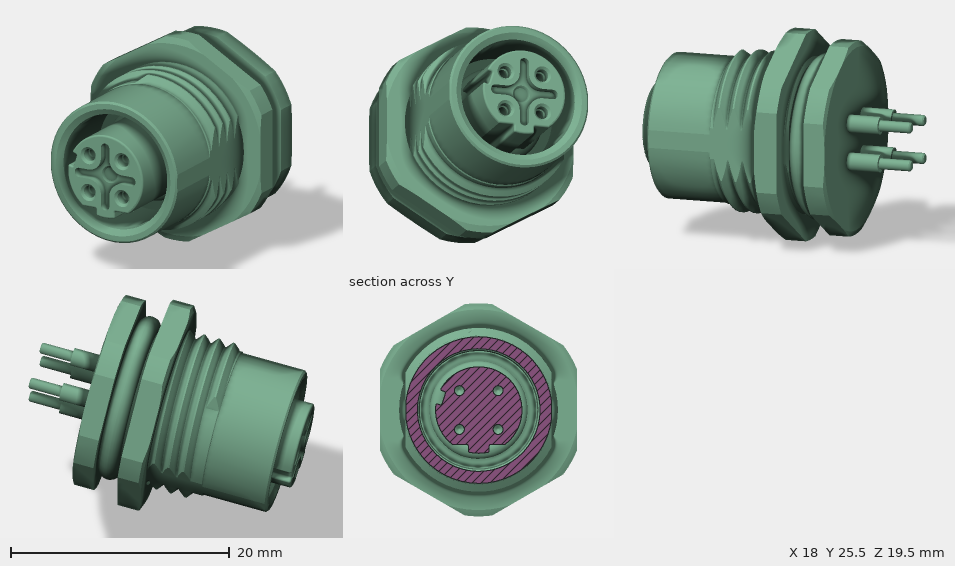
import cadquery as cq
import math


total_length = 25.5
shell_front = 1.48
shell_back = 7.65
bore_floor = 8.15
nut_front = 12.78
nut_back = 15.0
thread_back = 15.33
flange_front = 17.45
flange_back = 19.45
pin_step = 22.47

shell_radius = 6.73
shell_edge_chamfer = 0.18
bore_radius = 5.48
bore_floor_radius = 5.38
lip_radius = 6.05
lip_depth = 0.38
root_radius = 6.83
root_edge_chamfer = 0.08
crest_radius = 7.5
side_flat_x = 6.68
neck_radius = 6.5
thread_pitch = 1.4
thread_start = 8.25
thread_base = 1.28
thread_crest = 0.15
thread_overlap = 0.05
run_in_foot_x = -1.12
run_in_top_x = -0.28
run_in_angle = 15.0
run_in_cut_size = 1.02
thread_end_radius = 6.95
thread_end_chamfer = 0.54

nut_width = 18.0
nut_corner_radius = 19.5 / 2
nut_face_radius = 9.18
nut_bore_radius = 7.27
nut_chamfer = 0.23
flange_width = 17.0
flange_corner_radius = 9.0
flange_face_radius = 8.52
flange_chamfer = 0.15

outer_seal_width = flange_front - 15.48
outer_seal_radius = 6.75
inner_seal_width = 1.53
inner_seal_radius = 3.72

insert_radius = 3.98
insert_edge_fillet = 0.18
insert_flat_z = -3.15
key_width = 1.95
notch_angle = 162.0
notch_width = 1.25
notch_floor = 3.4
slot_corner_fillet = 0.15
cross_length = 6.43
cross_width = 0.9
cross_depth = 0.85
dimple_radius = 0.82
dimple_floor_radius = 0.65
dimple_depth = 0.18

contact_spacing = 3.55
contact_offset = contact_spacing / 2
contact_sides = (-contact_offset, contact_offset)
contact_points = [(x, z) for x in contact_sides for z in contact_sides]
socket_mouth_radius = 0.82
socket_radius = 0.59
socket_mouth_depth = 0.23
socket_depth = 1.02
contact_bore_radius = 0.43
contact_bore_depth = 2.55
contact_bore_point = 0.43
pin_base_radius = 0.82
pin_radius = 0.5
pin_tip_chamfer = 0.13

margin = 0.25


def plane_at(y):
    """Plane across the axis at y, with local axes along X and Z."""
    return cq.Workplane("XZ", origin=(0, y, 0))


def cylinder(y_front, y_back, radius):
    return plane_at(y_front).circle(radius).extrude(y_front - y_back)


def turned(points):
    """Solid of revolution about Y from (radius, y) points."""
    return cq.Workplane("XY").polyline(points).close().revolve(360, (0, 0), (0, 1))


def seal(ring_radius, width, y_centre):
    section = cq.Workplane("XY").center(ring_radius, y_centre).circle(width / 2)
    return section.revolve(360, (-ring_radius, 0), (-ring_radius, 1))


def hexagon(y_front, y_back, width):
    """Hexagonal prism with two of its flats facing -X and +X."""
    corner_diameter = width / math.cos(math.radians(30))
    prism = plane_at(y_front).transformed(rotate=(0, 0, 30)).polygon(6, corner_diameter)
    return prism.extrude(y_front - y_back)


def make_nut():
    envelope = turned([
        (0, nut_front),
        (nut_face_radius, nut_front),
        (nut_corner_radius, nut_front + nut_chamfer),
        (nut_corner_radius, nut_back),
        (0, nut_back),
    ])
    nut = hexagon(nut_front, nut_back, nut_width).intersect(envelope)
    return nut.cut(cylinder(nut_front, nut_back, nut_bore_radius))


def make_flange():
    envelope = turned([
        (0, flange_front),
        (flange_corner_radius, flange_front),
        (flange_corner_radius, flange_back - flange_chamfer),
        (flange_face_radius, flange_back),
        (0, flange_back),
    ])
    return hexagon(flange_front, flange_back, flange_width).intersect(envelope)


def make_shell():
    return turned([
        (0, bore_floor),
        (bore_floor_radius, bore_floor),
        (bore_radius, shell_front + lip_depth),
        (lip_radius, shell_front),
        (shell_radius - shell_edge_chamfer, shell_front),
        (shell_radius, shell_front + shell_edge_chamfer),
        (shell_radius, shell_back - root_edge_chamfer),
        (root_radius - root_edge_chamfer, shell_back - root_edge_chamfer),
        (root_radius, shell_back),
        (root_radius, thread_back),
        (neck_radius, thread_back),
        (neck_radius, flange_front),
        (0, flange_front),
    ])


def make_thread():
    """Right-hand ridge, wound about Z and then laid along Y."""
    inner_radius = root_radius - thread_overlap
    flank_slope = (thread_base - thread_crest) / 2 / (crest_radius - root_radius)
    half_foot = thread_base / 2 + thread_overlap * flank_slope
    half_crest = thread_crest / 2
    wound_length = thread_back - thread_start + thread_pitch
    helix = cq.Wire.makeHelix(thread_pitch, wound_length, inner_radius)
    profile = cq.Workplane("XZ").polyline([
        (inner_radius, -half_foot),
        (crest_radius, -half_crest),
        (crest_radius, half_crest),
        (inner_radius, half_foot),
    ]).close()
    ridge = profile.sweep(cq.Workplane(helix), isFrenet=True)
    ridge = ridge.rotate((0, 0, 0), (0, 0, 1), -90 - run_in_angle)
    ridge = ridge.rotate((0, 0, 0), (1, 0, 0), -90)
    ridge = ridge.translate((0, thread_start - thread_pitch * run_in_angle / 360, 0))

    envelope = turned([
        (0, shell_front),
        (crest_radius + margin, shell_front),
        (crest_radius + margin, thread_back - thread_end_chamfer),
        (crest_radius, thread_back - thread_end_chamfer),
        (thread_end_radius, thread_back),
        (0, thread_back),
    ])

    slope = (crest_radius - root_radius) / (run_in_top_x - run_in_foot_x)
    run_in_cut = plane_at(thread_start - thread_pitch / 2).polyline([
        (run_in_foot_x - run_in_cut_size, root_radius - slope * run_in_cut_size),
        (run_in_top_x, crest_radius),
        (run_in_top_x, crest_radius + run_in_cut_size),
        (run_in_foot_x - run_in_cut_size, crest_radius + run_in_cut_size),
    ]).close().extrude(-thread_pitch)
    return ridge.cut(run_in_cut).intersect(envelope)


def make_side_flats():
    """Material removed on the -X and +X sides of the shell and thread."""
    depth = 2 * crest_radius
    length = thread_back - shell_front
    block = cq.Workplane("XY").box(depth, length, depth).translate((0, shell_front + length / 2, 0))
    shift = side_flat_x + depth / 2
    return block.translate((-shift, 0, 0)).union(block.translate((shift, 0, 0)))


def make_insert():
    depth = bore_floor
    insert = cylinder(0, depth, insert_radius)

    flat_height = insert_radius + insert_flat_z
    flat_width = insert_radius
    for side in (-1, 1):
        flat = plane_at(0).center(side * (key_width + flat_width) / 2, insert_flat_z - flat_height / 2)
        insert = insert.cut(flat.rect(flat_width, flat_height).extrude(-depth))

    notch = plane_at(0).transformed(rotate=(0, 0, notch_angle)).center(notch_floor + insert_radius / 2, 0)
    insert = insert.cut(notch.rect(insert_radius, notch_width).extrude(-depth))

    key_corners = cq.selectors.BoxSelector(
        (-key_width / 2 - margin, 0, -insert_radius),
        (key_width / 2 + margin, depth, insert_flat_z + margin),
    )
    notch_corners = cq.selectors.BoxSelector(
        (-insert_radius, 0, 0),
        (margin - notch_floor * math.cos(math.radians(180 - notch_angle)), depth, insert_radius / 2),
    )
    insert = insert.edges("|Y").edges(key_corners + notch_corners).fillet(slot_corner_fillet)
    return insert.faces("<Y").edges().fillet(insert_edge_fillet)


def make_cross_recess():
    """Cross with its four inner corners rounded around the contacts, and a dimple in its floor."""
    middle = plane_at(0).rect(contact_spacing, contact_spacing).extrude(-cross_depth)
    corner_radius = contact_offset - cross_width / 2
    corners = plane_at(0).pushPoints(contact_points).circle(corner_radius).extrude(-cross_depth)
    recess = middle.cut(corners)
    for angle in (0, 90):
        recess = recess.union(plane_at(0).slot2D(cross_length, cross_width, angle).extrude(-cross_depth))
    dimple = turned([
        (0, cross_depth),
        (dimple_radius, cross_depth),
        (dimple_floor_radius, cross_depth + dimple_depth),
        (0, cross_depth + dimple_depth),
    ])
    return recess.union(dimple)


def make_socket():
    return turned([
        (0, 0),
        (socket_mouth_radius, 0),
        (socket_radius, socket_mouth_depth),
        (socket_radius, socket_depth),
        (contact_bore_radius, socket_depth),
        (contact_bore_radius, contact_bore_depth),
        (0, contact_bore_depth + contact_bore_point),
    ])


def make_pin():
    return turned([
        (0, flange_front),
        (pin_base_radius, flange_front),
        (pin_base_radius, pin_step),
        (pin_radius, pin_step),
        (pin_radius, total_length - pin_tip_chamfer),
        (pin_radius - pin_tip_chamfer, total_length),
        (0, total_length),
    ])


result = make_shell().union(make_thread()).cut(make_side_flats())
result = result.union(make_nut())
result = result.union(make_flange())
result = result.union(seal(outer_seal_radius, outer_seal_width, flange_front - outer_seal_width / 2))
result = result.union(seal(inner_seal_radius, inner_seal_width, bore_floor))
result = result.union(make_insert()).cut(make_cross_recess())
for x, z in contact_points:
    result = result.cut(make_socket().translate((x, 0, z)))
    result = result.union(make_pin().translate((x, 0, z)))